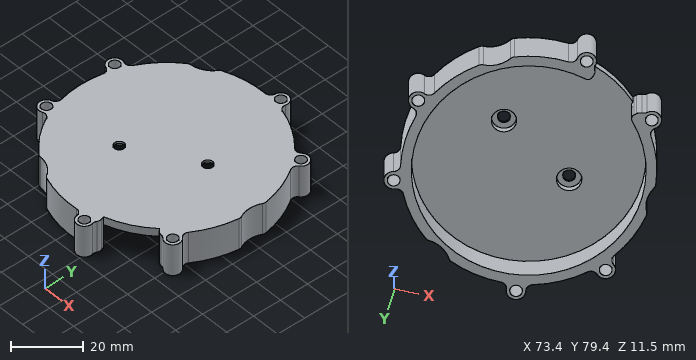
import cadquery as cq
import math

HEIGHT = 11.5
BODY_RADIUS = 35.5
WALL = 3.0
CAVITY_RADIUS = BODY_RADIUS - WALL
PLATE_THICKNESS = 3.0
PLATE_UNDERSIDE = HEIGHT - PLATE_THICKNESS
PLATE_RADIUS = 33.5

PITCH = 40.0
BOSS_ANGLES = [PITCH * step for step in (0.5, 2.5, 3.5, 5.5, 6.5, 8.5)]
NOTCH_ANGLES = [PITCH * step for step in (1.5, 4.5, 7.5)]
PATTERN_TURN = -59.13

BOSS_CIRCLE_RADIUS = 37.5
BOSS_RADIUS = 2.75
SCREW_HOLE_DIAMETER = 3.5

NOTCH_DEPTH = 1.5
NOTCH_RADIUS = 8.5

RIM_FILLET = 2.0

WINDOW_SPAN = 28.0
WINDOW_SLOPE = math.tan(math.radians(WINDOW_SPAN / 2))
WALL_END_INNER_FILLET = 1.45

PLATE_HOLES = [(12.6, 4.0), (-9.45, -9.15)]
PLATE_HOLE_DIAMETER = 3.5
COUNTERBORE_DIAMETER = 7.0
COUNTERBORE_DEPTH = 2.25


def about_axis(body, angle):
    """Turn a body about the Z axis."""
    return body.rotate((0, 0, 0), (0, 0, 1), angle)


def cylinder(radius, height, x=0.0):
    """Upright cylinder standing on Z = 0 with its axis at (x, 0)."""
    return cq.Workplane("XY").center(x, 0).circle(radius).extrude(height)


def make_rim():
    """Solid disc with notches and bosses, blended by vertical fillets."""
    rim = about_axis(cylinder(BODY_RADIUS, HEIGHT), NOTCH_ANGLES[0])
    notch_centre = BODY_RADIUS - NOTCH_DEPTH + NOTCH_RADIUS
    notch = cylinder(NOTCH_RADIUS, HEIGHT, notch_centre)
    for angle in NOTCH_ANGLES:
        rim = rim.cut(about_axis(notch, angle))

    boss = cylinder(BOSS_RADIUS, HEIGHT, -BOSS_CIRCLE_RADIUS)
    for angle in BOSS_ANGLES:
        rim = rim.union(about_axis(boss, angle + 180))
    return rim.edges("|Z").fillet(RIM_FILLET)


def cut_screw_holes(body):
    hole = cylinder(SCREW_HOLE_DIAMETER / 2, HEIGHT, BOSS_CIRCLE_RADIUS)
    for angle in BOSS_ANGLES:
        body = body.cut(about_axis(hole, angle))
    return body


def fillet_wall_ends(wall, x_min, x_max, radius):
    """Round the upright edges of the wall ends lying between two X positions."""
    y_max = BODY_RADIUS * WINDOW_SLOPE
    corners = cq.selectors.BoxSelector(
        (x_min, -y_max, HEIGHT / 4),
        (x_max, y_max, HEIGHT * 3 / 4),
    )
    return wall.edges(corners).fillet(radius)


def cut_window(wall):
    """Open the wall around the +X direction and round the two wall ends."""
    reach = BOSS_CIRCLE_RADIUS + BOSS_RADIUS
    half_width = reach * WINDOW_SLOPE
    wedge_points = [(0, 0), (reach, -half_width), (reach, half_width)]
    wall = wall.cut(cq.Workplane("XY").polyline(wedge_points).close().extrude(HEIGHT))
    wall = fillet_wall_ends(wall, PLATE_RADIUS, BODY_RADIUS, RIM_FILLET)
    return fillet_wall_ends(wall, 0, CAVITY_RADIUS, WALL_END_INNER_FILLET)


def cut_plate_holes(body):
    """Cut the plate holes and their counterbores on the plate's underside."""
    centres = cq.Workplane("XY").workplane(offset=PLATE_UNDERSIDE).pushPoints(PLATE_HOLES)
    holes = centres.circle(PLATE_HOLE_DIAMETER / 2).extrude(PLATE_THICKNESS)
    counterbores = centres.circle(COUNTERBORE_DIAMETER / 2).extrude(COUNTERBORE_DEPTH)
    return body.cut(holes).cut(counterbores)


wall = cut_screw_holes(make_rim())
wall = wall.cut(cylinder(CAVITY_RADIUS, HEIGHT))
wall = cut_window(wall)
plate = cylinder(PLATE_RADIUS, PLATE_THICKNESS).translate((0, 0, PLATE_UNDERSIDE))
cover = about_axis(wall.union(plate), PATTERN_TURN)
result = cut_plate_holes(cover)